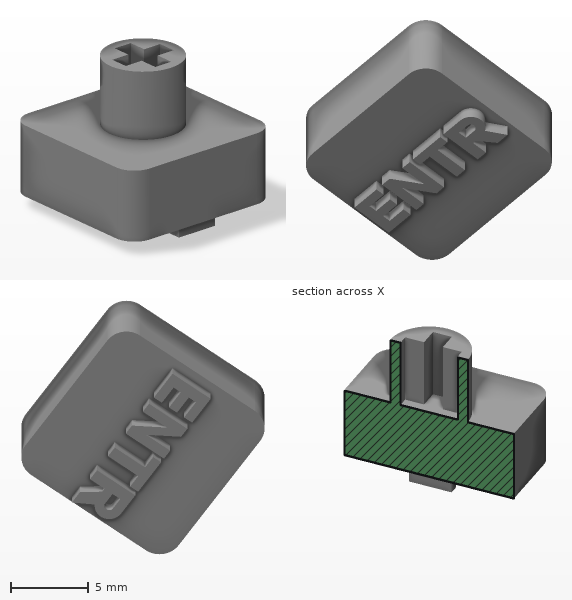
import cadquery as cq

block_x = 12.14
block_y = 12.2
block_height = 5
corner_radius = 1.52

stem_diameter = 5.6
stem_height = 4.8
socket_span = 4.06
socket_arm = socket_span / 3

pad_height = 0.9
pad_top = 1.52
pad_bottom = -pad_top
bar = 0.63


def pad(points):
    """Straight-sided pad hanging below the block."""
    return cq.Workplane("XY").polyline(points).close().extrude(-pad_height)


def box_pad(x_min, x_max, y_min, y_max):
    """Rectangular pad hanging below the block."""
    return pad([(x_min, y_min), (x_max, y_min), (x_max, y_max), (x_min, y_max)])


def comb_pad():
    """Upright at the +X side with three bars pointing to -X."""
    left, right, upright = 3.34, 5.42, 0.76
    shape = box_pad(right - upright, right, pad_bottom, pad_top)
    for bar_y in (pad_bottom, -bar / 2, pad_top - bar):
        shape = shape.union(box_pad(left, right, bar_y, bar_y + bar))
    return shape


def diagonal_pad():
    """Two uprights joined by a diagonal from the top +X to the bottom -X corner."""
    left, right, upright = 0.21, 2.8, 0.7
    diagonal = pad([
        (right, pad_top), (right - upright, pad_top),
        (left, pad_bottom), (left + upright, pad_bottom),
    ])
    shape = box_pad(left, left + upright, pad_bottom, pad_top)
    shape = shape.union(box_pad(right - upright, right, pad_bottom, pad_top))
    return shape.union(diagonal)


def tee_pad():
    """Central upright below a full-width bar."""
    left, right, upright = -2.67, -0.11, 0.76
    middle = (left + right) / 2
    shape = box_pad(left, right, pad_top - bar, pad_top)
    return shape.union(box_pad(middle - upright / 2, middle + upright / 2, pad_bottom, pad_top))


def loop_pad():
    """Upright at the +X side with a round-ended loop and a slanted leg."""
    left, right, upright = -5.8, -2.99, 0.78
    leg_width = 0.92
    leg_top = -4.03
    loop_bottom = -0.37
    loop_centre_y = (pad_top + loop_bottom) / 2
    outer_radius = (pad_top - loop_bottom) / 2
    inner_radius = outer_radius - bar
    arc_x = -4.58

    def loop(radius, x_max):
        return (
            cq.Workplane("XY")
            .moveTo(x_max, loop_centre_y + radius)
            .lineTo(arc_x, loop_centre_y + radius)
            .threePointArc((arc_x - radius, loop_centre_y), (arc_x, loop_centre_y - radius))
            .lineTo(x_max, loop_centre_y - radius)
            .close()
            .extrude(-pad_height)
        )

    inner_x = right - upright
    shape = box_pad(inner_x, right, pad_bottom, pad_top)
    shape = shape.union(loop(outer_radius, right).cut(loop(inner_radius, inner_x)))
    leg = pad([
        (left, pad_bottom), (left + leg_width, pad_bottom),
        (leg_top, loop_bottom), (leg_top - leg_width, loop_bottom + bar / 2),
    ])
    return shape.union(leg)


block = (
    cq.Workplane("XY")
    .box(block_x, block_y, block_height, centered=(True, True, False))
    .edges("|Z")
    .fillet(corner_radius)
)
stem = cq.Workplane("XY").workplane(offset=block_height).circle(stem_diameter / 2).extrude(stem_height)
socket = (
    cq.Workplane("XY")
    .workplane(offset=block_height)
    .rect(socket_span, socket_arm)
    .extrude(stem_height)
    .union(
        cq.Workplane("XY")
        .workplane(offset=block_height)
        .rect(socket_arm, socket_span)
        .extrude(stem_height)
    )
)

result = block.union(stem).cut(socket)
for make_pad in (comb_pad, diagonal_pad, tee_pad, loop_pad):
    result = result.union(make_pad())